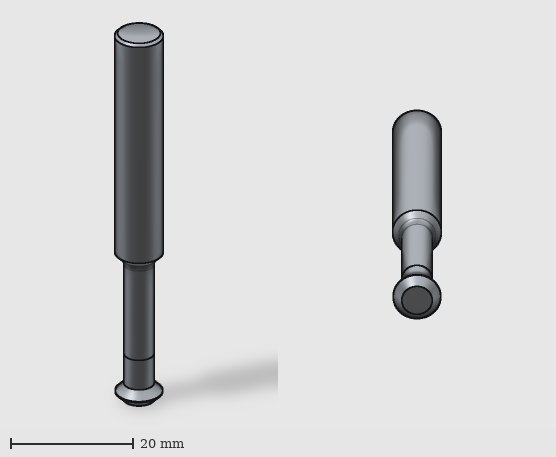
import cadquery as cq
import math

total_length = 68.0
head_length = 8.5
shoulder_height = 27.35

shank_radius = 8.0 / 2
neck_radius = 5.0 / 2
shank_chamfer = 0.5
shoulder_angle = math.radians(45)
neck_fillet_radius = 1.75

head_stem_radius = 4.99 / 2
rim_radius = 7.8 / 2
rim_land = 0.2
flank_height = rim_radius - head_stem_radius


def make_holder():
    """Turned shank that tapers at 45 degrees into a slimmer neck through a concave fillet."""
    fillet_center_radius = neck_radius + neck_fillet_radius
    taper_end_radius = fillet_center_radius - neck_fillet_radius * math.cos(shoulder_angle)
    taper_end_height = shoulder_height - (shank_radius - taper_end_radius) / math.tan(shoulder_angle)
    fillet_bottom = taper_end_height - neck_fillet_radius * math.sin(shoulder_angle)
    fillet_mid = (
        fillet_center_radius - neck_fillet_radius * math.cos(shoulder_angle / 2),
        fillet_bottom + neck_fillet_radius * math.sin(shoulder_angle / 2),
    )
    profile = (
        cq.Workplane("XZ")
        .moveTo(0, head_length)
        .lineTo(neck_radius, head_length)
        .lineTo(neck_radius, fillet_bottom)
        .threePointArc(fillet_mid, (taper_end_radius, taper_end_height))
        .lineTo(shank_radius, shoulder_height)
        .lineTo(shank_radius, total_length - shank_chamfer)
        .lineTo(shank_radius - shank_chamfer, total_length)
        .lineTo(0, total_length)
        .close()
    )
    return profile.revolve(360, (0, 0, 0), (0, 1, 0))


def make_cutting_head():
    """Double-bevel disc with a narrow cylindrical rim, carried on a short stem."""
    rim_bottom = flank_height
    rim_top = rim_bottom + rim_land
    stem_bottom = rim_top + flank_height
    profile = (
        cq.Workplane("XZ")
        .lineTo(head_stem_radius, 0)
        .lineTo(rim_radius, rim_bottom)
        .lineTo(rim_radius, rim_top)
        .lineTo(head_stem_radius, stem_bottom)
        .lineTo(head_stem_radius, head_length)
        .lineTo(0, head_length)
        .close()
    )
    return profile.revolve(360, (0, 0, 0), (0, 1, 0))


holder = make_holder()
cutting_head = make_cutting_head()

result = cq.Compound.makeCompound([holder.val(), cutting_head.val()])